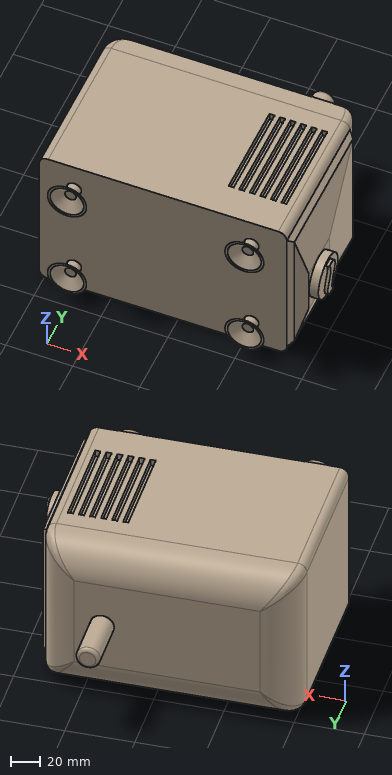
import cadquery as cq
import math

OVERALL_LENGTH = 207.3
BODY_LENGTH = 185.0
BODY_DEPTH = 138.0
BODY_HEIGHT = 122.7
SIDE_EDGE_RADIUS = 6.6
BACK_EDGE_RADIUS = 26.3

SLOT_COUNT = 6
SLOT_PITCH = 7.9
SLOT_WIDTH = 3.7
SLOT_LENGTH = 72.3
SLOT_DEPTH = 5.0
FIRST_SLOT_X = 132.7
SLOT_START_Y = 25.7

PIPE_DIAMETER = 17.0
PIPE_LENGTH = 39.2
PIPE_X = 138.7
PIPE_TIP_RADIUS = 2.7

RIM_HEIGHT = 4.0
RIM_INSET = 4.0
MOUNT_HEIGHT = 9.0
MOUNT_TOP_SIDE = 36.0
DIAL_DIAMETER = 34.5
DIAL_HEIGHT = 6.8
DIAL_Y = 26.3
GRIP_HEIGHT = OVERALL_LENGTH - BODY_LENGTH - RIM_HEIGHT - MOUNT_HEIGHT - DIAL_HEIGHT

GRIP_END_RADIUS = 14.7
GRIP_END_HALF_ANGLE = math.radians(15)
GRIP_BULGE = 6.5
GRIP_PINCH = 1.0
GRIP_CURVE_Z = 8.3

FOOT_INSET_X = 26.3
FOOT_PITCH_Z = 79.2
FOOT_HEIGHT = 12.9
STEM_DIAMETER = 10.8
STEM_LENGTH = 6.0
CUP_DIAMETER = 29.0
CUP_MOUTH_DIAMETER = 25.0
CUP_FLOOR_DIAMETER = 8.3
CUP_FLOOR_DEPTH = 6.2


def make_shell():
    """Block rounded over all four back edges, with softened lengthwise and back corner edges."""
    block = cq.Workplane("XY").box(
        BODY_LENGTH, BODY_DEPTH, BODY_HEIGHT, centered=(False, False, True)
    )
    rounded_at_ends = block.edges(">Y and |Z").fillet(BACK_EDGE_RADIUS)
    rounded_above_and_below = block.edges(">Y and |X").fillet(BACK_EDGE_RADIUS)
    shell = rounded_at_ends.intersect(rounded_above_and_below)
    return shell.edges("|Y").fillet(SIDE_EDGE_RADIUS)


def make_slots():
    """Cutters for the row of ventilation slots."""
    slots = []
    for index in range(SLOT_COUNT):
        slot = cq.Workplane("XY").box(
            SLOT_WIDTH, SLOT_LENGTH, SLOT_DEPTH, centered=(True, False, False)
        )
        slot_x = FIRST_SLOT_X + index * SLOT_PITCH
        slots.append(slot.translate((slot_x, SLOT_START_Y, BODY_HEIGHT / 2 - SLOT_DEPTH)))
    return slots


def make_pipe():
    return (
        cq.Workplane("XZ", origin=(PIPE_X, BODY_DEPTH, 0))
        .circle(PIPE_DIAMETER / 2)
        .extrude(-PIPE_LENGTH)
        .faces(">Y")
        .edges()
        .fillet(PIPE_TIP_RADIUS)
    )


def side_plane(x, y):
    """Workplane facing +X, with local axes along Y and Z."""
    return cq.Workplane("YZ", origin=(x, y, 0))


def make_panel():
    """Bevelled rim over the flat of the +X side, then a taper to the dial mount."""
    base_depth = BODY_DEPTH - BACK_EDGE_RADIUS
    base_height = BODY_HEIGHT - 2 * SIDE_EDGE_RADIUS
    rim_depth = base_depth - 2 * RIM_INSET
    rim_height = base_height - 2 * RIM_INSET
    base_center_y = base_depth / 2
    rim = (
        side_plane(BODY_LENGTH, base_center_y)
        .rect(base_depth, base_height)
        .workplane(offset=RIM_HEIGHT)
        .rect(rim_depth, rim_height)
        .loft(ruled=True)
    )
    mount = (
        side_plane(BODY_LENGTH + RIM_HEIGHT, base_center_y)
        .rect(rim_depth, rim_height)
        .workplane(offset=MOUNT_HEIGHT)
        .center(DIAL_Y - base_center_y, 0)
        .rect(MOUNT_TOP_SIDE, MOUNT_TOP_SIDE)
        .loft(ruled=True)
    )
    return rim.union(mount)


def make_dial():
    """Round dial carrying the S-shaped grip."""
    dial_x = BODY_LENGTH + RIM_HEIGHT + MOUNT_HEIGHT
    dial = side_plane(dial_x, DIAL_Y).circle(DIAL_DIAMETER / 2).extrude(DIAL_HEIGHT)

    corner_y = GRIP_END_RADIUS * math.sin(GRIP_END_HALF_ANGLE)
    corner_z = GRIP_END_RADIUS * math.cos(GRIP_END_HALF_ANGLE)
    front_curve = [(-GRIP_PINCH, GRIP_CURVE_Z), (-GRIP_BULGE, -GRIP_CURVE_Z), (-corner_y, -corner_z)]
    back_curve = [(-y, -z) for y, z in front_curve]
    grip = (
        side_plane(dial_x + DIAL_HEIGHT, DIAL_Y)
        .moveTo(-corner_y, corner_z)
        .spline(front_curve, includeCurrent=True)
        .threePointArc((0, -GRIP_END_RADIUS), (corner_y, -corner_z))
        .spline(back_curve, includeCurrent=True)
        .threePointArc((0, GRIP_END_RADIUS), (-corner_y, corner_z))
        .close()
        .extrude(GRIP_HEIGHT)
    )
    return dial.union(grip)


def make_housing():
    housing = make_shell().union(make_pipe()).union(make_panel()).union(make_dial())
    for slot in make_slots():
        housing = housing.cut(slot)
    return housing


def make_foot(x, z):
    """Suction cup turned about a Y axis, its stem touching the front face."""
    profile = [
        (0, 0),
        (STEM_DIAMETER / 2, 0),
        (STEM_DIAMETER / 2, -STEM_LENGTH),
        (CUP_DIAMETER / 2, -FOOT_HEIGHT),
        (CUP_MOUTH_DIAMETER / 2, -FOOT_HEIGHT),
        (CUP_FLOOR_DIAMETER / 2, -FOOT_HEIGHT + CUP_FLOOR_DEPTH),
        (0, -FOOT_HEIGHT + CUP_FLOOR_DEPTH),
    ]
    foot = cq.Workplane("XY").polyline(profile).close().revolve(360, (0, 0, 0), (0, 1, 0))
    return foot.translate((x, 0, z))


housing = make_housing()
feet = cq.Workplane("XY")
for foot_x in (FOOT_INSET_X, BODY_LENGTH - FOOT_INSET_X):
    for foot_z in (-FOOT_PITCH_Z / 2, FOOT_PITCH_Z / 2):
        feet = feet.add(make_foot(foot_x, foot_z))

result = cq.Compound.makeCompound([housing.val(), *feet.vals()])